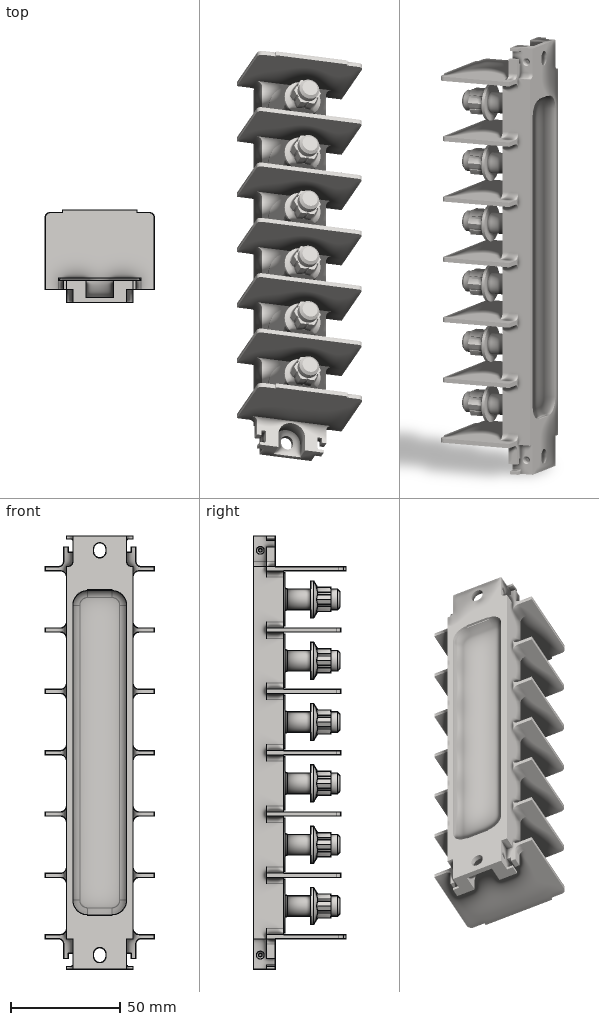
import cadquery as cq
import math

LENGTH = 198.2
OVERALL_DEPTH = 42.5

BAR_WIDTH = 30.5
BAR_DEPTH = 13.9

END_WIDTH = 24.5
END_DEPTH = 10.1
SHOULDER_RADIUS = 2.4
MOUNT_HOLE_Z = 92.5
MOUNT_HOLE_WIDTH = 5.5
MOUNT_HOLE_HEIGHT = 6.7
NUT_POCKET_RADIUS = 6.3
NUT_POCKET_WALL = 2.4
DIMPLE_RADIUS = 1.8
DIMPLE_FLOOR_RADIUS = 0.8
DIMPLE_DEPTH = 1.2
DIMPLE_Y = 3.2

STUD_COUNT = 6
PLATE_SPAN = 168.3
PLATE_PITCH = PLATE_SPAN / STUD_COUNT
PLATE_WIDTH = 50.0
PLATE_THICKNESS = 2.0
PLATE_FRONT_Y = 6.0
INNER_PLATE_BACK_Y = 40.0
END_PLATE_SHOULDER_Y = 41.2
INNER_PLATE_CORNER_RADIUS = 2.0
END_PLATE_CORNER_RADIUS = 2.4
PLATE_TAB_WIDTH = 34.0
ROOT_RADIUS = 2.8

EAR_WIDTH = 33.1
EAR_TOP_Z = 94.1
EAR_SLOT_WIDTH = 28.7
EAR_SLOT_BOTTOM_Z = 91.8
EAR_ROOT_RADIUS = 2.4
LIP_THICKNESS = 1.4
LIP_ROOT = 0.5

SLIT_DEPTH = 1.2

RECESS_WIDTH = 24.5
RECESS_LENGTH = 148.3
RECESS_CORNER_RADIUS = 6.7
RECESS_DEPTH = 4.4
RECESS_FLOOR_RADIUS = 3.2
RECESS_NOTCH_REACH = 0.4

PAD_RADIUS = 12.3
PAD_HEIGHT = 0.5
STUD_RADIUS = 4.8
COLLAR_RADIUS = 5.2
COLLAR_BACK_Y = 15.7
FLANGE_RADIUS = 8.5
FLANGE_FRONT_Y = 26.2
FLANGE_THICKNESS = 1.4
FLANGE_CONE_HEIGHT = 1.8
NUT_SIDES = 6
NUT_ACROSS_FLATS = 11.1
NUT_BACK_Y = 35.5
NUT_GROOVE_WIDTH = 1.2
NUT_GROOVE_DEPTH = 0.4
STUD_BACK_Y = 39.6
STUD_CHAMFER = 1.2

OUTER_PLATE_Z = PLATE_SPAN / 2
OUTER_FACE_Z = OUTER_PLATE_Z + PLATE_THICKNESS / 2


def block(width, y_front, y_back, z_low, z_high):
    """Box centred on X = 0 between the given Y and Z limits."""
    size_y = y_back - y_front
    size_z = z_high - z_low
    box = cq.Workplane("XY").box(width, size_y, size_z, centered=(True, False, False))
    return box.translate((0, y_front, z_low))


def extrude_back(outline, y_front, y_back):
    """Extrude an outline in the XZ plane from y_front to y_back."""
    return outline.extrude(y_front - y_back).translate((0, y_front, 0))


def both_sides(solid):
    """Join a solid with its mirror image across X = 0."""
    return solid.union(solid.mirror("YZ"))


def concave_corner(x, z, radius, x_side, z_side, y_front, y_back):
    """Fill the inner corner at (x, z) that opens toward x_side and z_side."""
    outline = (
        cq.Workplane("XZ")
        .moveTo(x, z)
        .lineTo(x + x_side * radius, z)
        .radiusArc((x, z + z_side * radius), x_side * z_side * radius)
        .close()
    )
    return extrude_back(outline, y_front, y_back)


def bar_with_recess():
    """Main bar with a rounded recess in its front face, notched at both ends."""
    bar = block(BAR_WIDTH, 0, BAR_DEPTH, -OUTER_FACE_Z, OUTER_FACE_Z)
    recess = (
        block(RECESS_WIDTH, 0, RECESS_DEPTH, -RECESS_LENGTH / 2, RECESS_LENGTH / 2)
        .edges("|Y")
        .fillet(RECESS_CORNER_RADIUS)
        .faces(">Y")
        .edges()
        .fillet(RECESS_FLOOR_RADIUS)
    )
    notch_width = RECESS_WIDTH - 2 * RECESS_CORNER_RADIUS
    notch_depth = RECESS_DEPTH - RECESS_FLOOR_RADIUS
    notch_end_z = RECESS_LENGTH / 2 + RECESS_NOTCH_REACH
    end_notches = block(notch_width, 0, notch_depth, -notch_end_z, notch_end_z)
    return bar.cut(recess).cut(end_notches)


def plate(z, shoulder_y, corner_radius):
    """Partition plate with rounded back corners."""
    z_low = z - PLATE_THICKNESS / 2
    z_high = z + PLATE_THICKNESS / 2
    body = block(PLATE_WIDTH, PLATE_FRONT_Y, shoulder_y, z_low, z_high)
    return body.edges("|Z and >Y").fillet(corner_radius)


def plate_roots(z, z_side):
    """Concave roots on one face of a plate, at both sides of the bar."""
    face_z = z + z_side * PLATE_THICKNESS / 2
    root = concave_corner(BAR_WIDTH / 2, face_z, ROOT_RADIUS, 1, z_side, PLATE_FRONT_Y, BAR_DEPTH)
    return both_sides(root)


def plate_stack():
    """All plates; the two outermost are deeper and carry a tab at the back."""
    stack = cq.Workplane("XY")
    for index in range(STUD_COUNT + 1):
        z = index * PLATE_PITCH - OUTER_PLATE_Z
        if index > 0:
            stack = stack.union(plate_roots(z, -1))
        if index < STUD_COUNT:
            stack = stack.union(plate_roots(z, 1))
        if 0 < index < STUD_COUNT:
            stack = stack.union(plate(z, INNER_PLATE_BACK_Y, INNER_PLATE_CORNER_RADIUS))
        else:
            z_low = z - PLATE_THICKNESS / 2
            z_high = z + PLATE_THICKNESS / 2
            tab = block(PLATE_TAB_WIDTH, PLATE_FRONT_Y, OVERALL_DEPTH, z_low, z_high)
            end_plate = plate(z, END_PLATE_SHOULDER_Y, END_PLATE_CORNER_RADIUS)
            stack = stack.union(end_plate).union(tab)
    return stack


def ears():
    """Ears standing on the upper plate, each with a slot next to the mounting end."""
    ear = block(EAR_WIDTH, PLATE_FRONT_Y, END_DEPTH, OUTER_FACE_Z, EAR_TOP_Z)
    slot = block(EAR_SLOT_WIDTH, PLATE_FRONT_Y, END_DEPTH, EAR_SLOT_BOTTOM_Z, EAR_TOP_Z)
    root = concave_corner(EAR_WIDTH / 2, OUTER_FACE_Z, EAR_ROOT_RADIUS, 1, 1, PLATE_FRONT_Y, END_DEPTH)
    return ear.cut(slot).union(both_sides(root))


def lips():
    """Thin lips at the tip of the mounting end, with a chamfered root."""
    lip_bottom_z = LENGTH / 2 - LIP_THICKNESS
    lip = block(BAR_WIDTH, PLATE_FRONT_Y, END_DEPTH, lip_bottom_z, LENGTH / 2)
    root_outline = (
        cq.Workplane("XZ")
        .moveTo(END_WIDTH / 2, lip_bottom_z)
        .lineTo(END_WIDTH / 2 + LIP_ROOT, lip_bottom_z)
        .lineTo(END_WIDTH / 2, lip_bottom_z - LIP_ROOT)
        .close()
    )
    return lip.union(both_sides(extrude_back(root_outline, PLATE_FRONT_Y, END_DEPTH)))


def mounting_end_cuts():
    """Slotted screw hole, open nut pocket behind it and a conical dimple in each side."""
    hole_outline = (
        cq.Workplane("XZ")
        .center(0, MOUNT_HOLE_Z)
        .slot2D(MOUNT_HOLE_HEIGHT, MOUNT_HOLE_WIDTH, 90)
    )
    hole = extrude_back(hole_outline, 0, END_DEPTH)
    pocket_outline = cq.Workplane("XZ").center(0, MOUNT_HOLE_Z).circle(NUT_POCKET_RADIUS)
    pocket = extrude_back(pocket_outline, NUT_POCKET_WALL, END_DEPTH)
    pocket_mouth = block(2 * NUT_POCKET_RADIUS, NUT_POCKET_WALL, END_DEPTH, MOUNT_HOLE_Z, LENGTH / 2)
    dimple = cq.Workplane(
        cq.Solid.makeCone(
            DIMPLE_RADIUS,
            DIMPLE_FLOOR_RADIUS,
            DIMPLE_DEPTH,
            cq.Vector(END_WIDTH / 2, DIMPLE_Y, MOUNT_HOLE_Z),
            cq.Vector(-1, 0, 0),
        )
    )
    return hole.union(pocket).union(pocket_mouth).union(both_sides(dimple))


def mounting_end():
    """Upper mounting end with its ears and lips."""
    core = block(END_WIDTH, 0, END_DEPTH, OUTER_FACE_Z, LENGTH / 2)
    return core.union(ears()).union(lips()).cut(mounting_end_cuts())


def upper_shoulder_fillets():
    """Concave fillets where the upper mounting end meets the wider bar."""
    fillet = concave_corner(END_WIDTH / 2, OUTER_FACE_Z, SHOULDER_RADIUS, 1, 1, 0, PLATE_FRONT_Y)
    return both_sides(fillet)


def plate_slit():
    """Slit in the upper plate whose floor and ends slope down at 45 degrees."""
    half_length = EAR_WIDTH / 2 + EAR_ROOT_RADIUS
    back_y = END_DEPTH + SLIT_DEPTH
    floor_z = OUTER_FACE_Z - SLIT_DEPTH
    cross_section = (
        cq.Workplane("YZ")
        .moveTo(END_DEPTH, OUTER_FACE_Z)
        .lineTo(back_y, OUTER_FACE_Z)
        .lineTo(back_y, floor_z)
        .close()
        .extrude(half_length, both=True)
    )
    long_section = (
        cq.Workplane("XZ")
        .moveTo(-half_length, OUTER_FACE_Z)
        .lineTo(half_length, OUTER_FACE_Z)
        .lineTo(half_length - SLIT_DEPTH, floor_z)
        .lineTo(SLIT_DEPTH - half_length, floor_z)
        .close()
    )
    return cross_section.intersect(extrude_back(long_section, END_DEPTH, back_y))


def stud():
    """Stud on a round pad, with a flanged hexagon nut whose corners point along X."""
    flange_back_y = FLANGE_FRONT_Y + FLANGE_THICKNESS
    cone_back_y = flange_back_y + FLANGE_CONE_HEIGHT
    nut_corner_radius = NUT_ACROSS_FLATS / 2 / math.cos(math.pi / NUT_SIDES)
    pad_y = BAR_DEPTH + PAD_HEIGHT
    turned_outline = (
        cq.Workplane("XY")
        .moveTo(0, BAR_DEPTH)
        .lineTo(PAD_RADIUS, BAR_DEPTH)
        .lineTo(PAD_RADIUS, pad_y)
        .lineTo(COLLAR_RADIUS, pad_y)
        .lineTo(STUD_RADIUS, COLLAR_BACK_Y)
        .lineTo(STUD_RADIUS, FLANGE_FRONT_Y)
        .lineTo(FLANGE_RADIUS, FLANGE_FRONT_Y)
        .lineTo(FLANGE_RADIUS, flange_back_y)
        .lineTo(NUT_ACROSS_FLATS / 2, cone_back_y)
        .lineTo(STUD_RADIUS, cone_back_y)
        .lineTo(STUD_RADIUS, STUD_BACK_Y - STUD_CHAMFER)
        .lineTo(STUD_RADIUS - STUD_CHAMFER, STUD_BACK_Y)
        .lineTo(0, STUD_BACK_Y)
        .close()
    )
    turned = turned_outline.revolve(360, (0, 0, 0), (0, 1, 0))
    nut_outline = cq.Workplane("XZ").polygon(NUT_SIDES, 2 * nut_corner_radius)
    nut = extrude_back(nut_outline, flange_back_y, NUT_BACK_Y)
    for side in range(NUT_SIDES):
        groove = block(
            NUT_GROOVE_WIDTH,
            cone_back_y,
            NUT_BACK_Y,
            NUT_ACROSS_FLATS / 2 - NUT_GROOVE_DEPTH,
            nut_corner_radius,
        )
        nut = nut.cut(groove.rotate((0, 0, 0), (0, 1, 0), side * 360 / NUT_SIDES))
    return turned.union(nut)


upper_end = mounting_end()
result = bar_with_recess().union(plate_stack())
result = result.union(upper_end).union(upper_end.mirror("XY"))
result = result.union(upper_shoulder_fillets()).cut(plate_slit())

single_stud = stud()
for index in range(STUD_COUNT):
    stud_z = (index + 0.5) * PLATE_PITCH - OUTER_PLATE_Z
    result = result.union(single_stud.translate((0, 0, stud_z)))